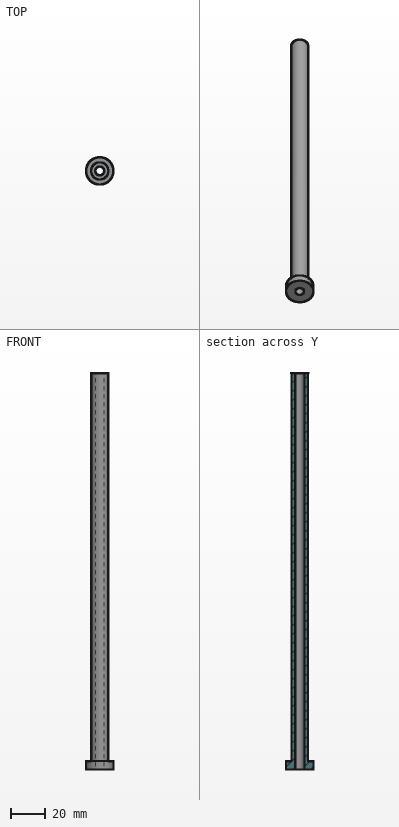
import cadquery as cq

total_length = 230.0
head_diameter = 16.0
head_height = 5.0
sleeve_diameter = 10.0
bore_diameter = 5.0
root_fillet_radius = 0.5


def make_profile():
    """Half section in the XZ plane, from the bore wall out to the head rim."""
    bore_radius = bore_diameter / 2
    sleeve_radius = sleeve_diameter / 2
    head_radius = head_diameter / 2
    fillet_end = (sleeve_radius, head_height + root_fillet_radius)
    return (
        cq.Workplane("XZ")
        .moveTo(bore_radius, 0)
        .lineTo(head_radius, 0)
        .lineTo(head_radius, head_height)
        .lineTo(sleeve_radius + root_fillet_radius, head_height)
        .radiusArc(fillet_end, root_fillet_radius)
        .lineTo(sleeve_radius, total_length)
        .lineTo(bore_radius, total_length)
        .close()
    )


def make_sleeve():
    """Turn the half section a full revolution about the Z axis."""
    full_turn = 360
    return make_profile().revolve(full_turn, (0, 0, 0), (0, 1, 0))


result = make_sleeve()